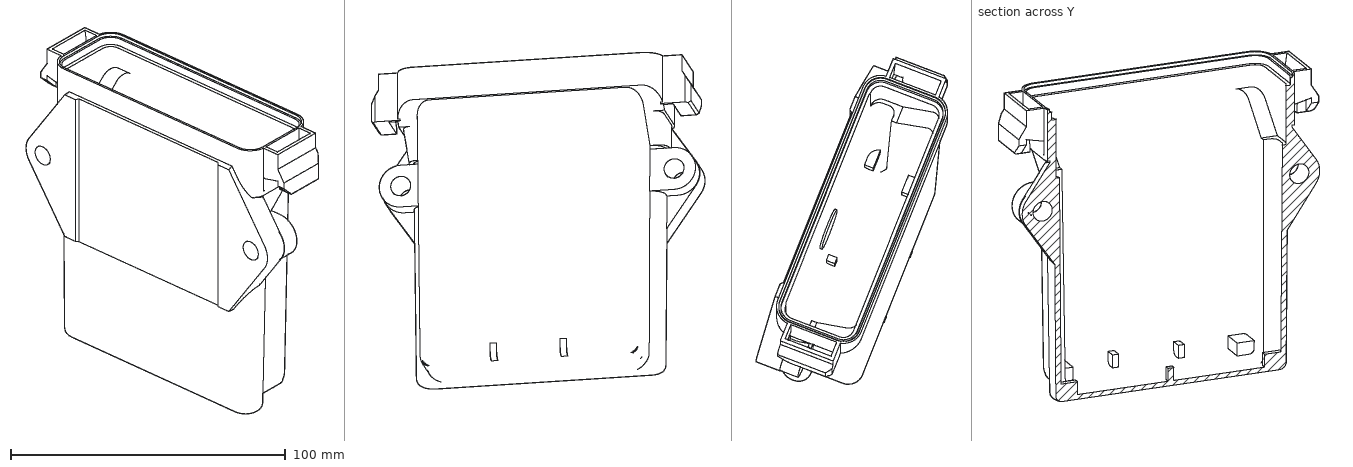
import cadquery as cq
import math


HEIGHT = 114.0
OVERLAP = 1.0

BODY_FRONT_Y = 2.9
WIDE_HALF_TOP, WIDE_HALF_BOTTOM = 47.1, 46.2
SIDE_STEP = 5.0
STEP_Y_TOP, STEP_Y_BOTTOM = 16.8, 14.6
BACK_Y_TOP, BACK_Y_BOTTOM = 34.6, 32.5
FRONT_CORNER_R, STEP_CORNER_R, BACK_CORNER_R = 6.2, 4.8, 5.5
FRONT_BOTTOM_R, BACK_BOTTOM_R = 2.5, 5.5
WALL = 2.0
CAVITY_BOTTOM_R = 2.0

COLLAR_HALF = 49.4
COLLAR_FRONT_Y, COLLAR_BACK_Y = 2.1, 34.74
COLLAR_R = 7.0
COLLAR_BOTTOM = 94.0
NECK_HALF = 48.4
NECK_RISE = 1.2
SLOPE_BACK_Z = 101.5
SLOPE_EDGE_R = 3.0
MOUTH_WALL = 3.1
MOUTH_STEPS = ((0.8, 1.2), (1.6, 4.2))

PLATE_MID_Z = 74.9
PLATE_HALF_HEIGHT = 30.7
PLATE_HALF_WIDTH = 39.6
PLATE_EDGE_DRAFT = 0.7
EAR_BACK_Y = 9.3
HOLE_X = 50.8
HOLE_D = 7.4
EAR_TIP_R = 8.2
BOSS_R = 8.0
BOSS_BACK_Y = 16.3
RELIEF_HALF, RELIEF_DEPTH = 34.9, 1.0

LATCH_FRONT_Y, LATCH_BACK_Y = 8.5, 29.2
LATCH_TOP_X, LATCH_HOOK_X = 56.4, 59.4
LATCH_SHOULDER_Z, LATCH_HOOK_Z, LATCH_BOTTOM = 107.8, 103.2, 95.8
LATCH_CORNER = 1.8
LATCH_HOOK_EDGE = 0.9
LATCH_WALL = 1.4
LATCH_SLOT_X = 52.8
LATCH_SLOT_TOP = 98.0
LATCH_BEVEL = 5.0
NOTCH_OUTER_Z, NOTCH_INNER_Z = 102.8, 101.2

SUPPORT_TOP = 7.0
BACK_BLOCK_X, BACK_BLOCK_FRONT_Y = 32.5, 21.2
FRONT_BLOCK_X, FRONT_BLOCK_BACK_Y = 37.0, 8.3
RIB_THICKNESS = 2.4
BACK_RIB_X, BACK_RIB_FRONT_Y = 13.0, 27.4
CENTER_RIB_BACK_Y = 8.2
PAD_R, PAD_THICKNESS = 7.7, 0.8

CAVITY_BACK_Y = COLLAR_BACK_Y - MOUTH_WALL
SLOPE_FRONT_Z = PLATE_MID_Z + EAR_TIP_R + NECK_RISE
SLOPE_ANGLE = math.atan2(SLOPE_BACK_Z - SLOPE_FRONT_Z, COLLAR_BACK_Y - BOSS_BACK_Y)


def block(x0, x1, y0, y1, z0, z1):
    """Box given by its limits along each axis."""
    return cq.Workplane("XY").box(x1 - x0, y1 - y0, z1 - z0, centered=False).translate((x0, y0, z0))


def both_ends(shape):
    """A left-end shape together with its mirror image on the right end."""
    return shape.union(shape.mirror("YZ"))


def across_x(points, half_width):
    """Solid with the given (Y, Z) outline, running across X."""
    return cq.Workplane("YZ").polyline(points).close().extrude(half_width, both=True)


def along_y(points, y0, y1):
    """Solid with the given (X, Z) outline, running from y0 to y1."""
    return cq.Workplane("XZ", origin=(0, y0, 0)).polyline(points).close().extrude(y0 - y1)


def rounded_tube(half, front, back, radius, z0):
    """Upright prism with rounded corners, from z0 to the top."""
    return block(-half, half, front, back, z0, HEIGHT).edges("|Z").fillet(radius)


def tapered_block(half_bottom, half_top, front, back_bottom, back_top, z0):
    """Block whose ends and back lean outwards from z0 up to the top."""
    side = across_x([(front, z0), (back_bottom, z0), (back_top, HEIGHT), (front, HEIGHT)], half_top)
    ends = [(-half_bottom, z0), (half_bottom, z0), (half_top, HEIGHT), (-half_top, HEIGHT)]
    return side.intersect(along_y(ends, front, back_top))


def wide_part(inset, z0, bottom_r):
    """Front part of the body, moved inwards by inset and standing on z0."""
    solid = tapered_block(
        WIDE_HALF_BOTTOM - inset, WIDE_HALF_TOP - inset, BODY_FRONT_Y + inset,
        STEP_Y_BOTTOM - inset, STEP_Y_TOP - inset, z0)
    solid = solid.edges("not #Z").edges("<Y").fillet(FRONT_CORNER_R - inset)
    solid = solid.faces(">Y").edges("not #Z").fillet(STEP_CORNER_R - inset)
    return solid.faces("<Z").edges().fillet(bottom_r)


def narrow_part(inset, z0, bottom_r, back_bottom, back_top):
    """Rear part of the body, reaching forward into the wide part."""
    solid = tapered_block(
        WIDE_HALF_BOTTOM - SIDE_STEP - inset, WIDE_HALF_TOP - SIDE_STEP - inset,
        BODY_FRONT_Y + inset + FRONT_BOTTOM_R, back_bottom, back_top, z0)
    solid = solid.faces(">Y").edges("not #Z").fillet(BACK_CORNER_R - inset)
    return solid.faces("<Z").edges("not <Y").fillet(bottom_r)


def body():
    rear = narrow_part(0, 0, BACK_BOTTOM_R, BACK_Y_BOTTOM, BACK_Y_TOP)
    return wide_part(0, 0, FRONT_BOTTOM_R).union(rear)


def cavity(inset):
    """Space inside the body; its back wall stands upright."""
    back = CAVITY_BACK_Y + WALL - inset
    rear = narrow_part(inset, inset, CAVITY_BOTTOM_R, back, back)
    return wide_part(inset, inset, CAVITY_BOTTOM_R).union(rear)


def above_slope(rise):
    """Space above the sloped underside of the collar, moved up by rise."""
    outline = [
        (0, SLOPE_FRONT_Z + rise),
        (BOSS_BACK_Y, SLOPE_FRONT_Z + rise),
        (COLLAR_BACK_Y, SLOPE_BACK_Z + rise),
        (COLLAR_BACK_Y, HEIGHT),
        (0, HEIGHT),
    ]
    return across_x(outline, LATCH_HOOK_X)


def collar():
    """Collar with the slimmer neck under it, both ending on the slope with rounded edges."""
    slope_edges = cq.selectors.ParallelDirSelector(
        cq.Vector(0, math.cos(SLOPE_ANGLE), math.sin(SLOPE_ANGLE)))
    outer = rounded_tube(COLLAR_HALF, COLLAR_FRONT_Y, COLLAR_BACK_Y, COLLAR_R, COLLAR_BOTTOM)
    neck = rounded_tube(NECK_HALF, COLLAR_FRONT_Y, COLLAR_BACK_Y, COLLAR_R, SLOPE_FRONT_Z)
    neck = neck.intersect(above_slope(0)).edges(slope_edges).fillet(SLOPE_EDGE_R)
    return outer.intersect(above_slope(0)).union(neck)


def mouth():
    """Stepped opening inside the collar, ending on a sloped floor at each end."""
    opening = rounded_tube(
        COLLAR_HALF - MOUTH_WALL, COLLAR_FRONT_Y + MOUTH_WALL, COLLAR_BACK_Y - MOUTH_WALL,
        COLLAR_R - MOUTH_WALL, SLOPE_FRONT_Z)
    opening = opening.intersect(above_slope(WALL / math.cos(SLOPE_ANGLE)))
    for inset, depth in MOUTH_STEPS:
        opening = opening.union(rounded_tube(
            COLLAR_HALF - inset, COLLAR_FRONT_Y + inset, COLLAR_BACK_Y - inset,
            COLLAR_R - inset, HEIGHT - depth))
    return opening


def mounting_plate():
    """Hexagonal plate with rounded ear tips, a boss behind each hole and a sunk middle."""
    reach_x = HOLE_X - PLATE_HALF_WIDTH
    edge_angle = math.atan2(reach_x, PLATE_HALF_HEIGHT) + math.asin(
        EAR_TIP_R / math.hypot(reach_x, PLATE_HALF_HEIGHT))
    tangent_x = HOLE_X + EAR_TIP_R * math.cos(edge_angle)
    tangent_z = EAR_TIP_R * math.sin(edge_angle)
    tip_x = HOLE_X + EAR_TIP_R
    plate = (
        cq.Workplane("XZ", origin=(0, 0, PLATE_MID_Z))
        .moveTo(-PLATE_HALF_WIDTH, PLATE_HALF_HEIGHT)
        .lineTo(PLATE_HALF_WIDTH, PLATE_HALF_HEIGHT)
        .lineTo(tangent_x, tangent_z)
        .threePointArc((tip_x, 0), (tangent_x, -tangent_z))
        .lineTo(PLATE_HALF_WIDTH, -PLATE_HALF_HEIGHT)
        .lineTo(-PLATE_HALF_WIDTH, -PLATE_HALF_HEIGHT)
        .lineTo(-tangent_x, -tangent_z)
        .threePointArc((-tip_x, 0), (-tangent_x, tangent_z))
        .close()
        .extrude(-EAR_BACK_Y)
    )
    low, high = PLATE_MID_Z - PLATE_HALF_HEIGHT, PLATE_MID_Z + PLATE_HALF_HEIGHT
    drafted = across_x(
        [
            (0, low + PLATE_EDGE_DRAFT),
            (BODY_FRONT_Y, low),
            (EAR_BACK_Y, low),
            (EAR_BACK_Y, high),
            (BODY_FRONT_Y, high),
            (0, high - PLATE_EDGE_DRAFT),
        ],
        tip_x + OVERLAP,
    )
    relief = (
        cq.Workplane("XY", origin=(0, 0, low))
        .polyline([
            (-RELIEF_HALF, 0),
            (RELIEF_HALF, 0),
            (RELIEF_HALF - RELIEF_DEPTH, RELIEF_DEPTH),
            (RELIEF_DEPTH - RELIEF_HALF, RELIEF_DEPTH),
        ])
        .close()
        .extrude(high - low)
    )
    return plate.intersect(drafted).cut(relief).union(both_ends(ear_boss()))


def ear_boss():
    """Rounded lug behind the left ear, running from the hole into the body."""
    round_end = (
        cq.Workplane("XZ", origin=(-HOLE_X, EAR_BACK_Y - OVERLAP, PLATE_MID_Z))
        .circle(BOSS_R)
        .extrude(EAR_BACK_Y - OVERLAP - BOSS_BACK_Y)
    )
    arm = block(
        -HOLE_X, SIDE_STEP + OVERLAP - WIDE_HALF_BOTTOM, EAR_BACK_Y - OVERLAP, BOSS_BACK_Y,
        PLATE_MID_Z - BOSS_R, PLATE_MID_Z + BOSS_R)
    return round_end.union(arm)


def ear_hole():
    return (
        cq.Workplane("XZ", origin=(-HOLE_X, 0, PLATE_MID_Z))
        .circle(HOLE_D / 2)
        .extrude(-BOSS_BACK_Y)
    )


def latch():
    """Left-end latch box with a hooked profile and a pocket that narrows to a through slot."""
    inner_x = -COLLAR_HALF
    profile = [
        (inner_x + OVERLAP, HEIGHT),
        (-LATCH_TOP_X, HEIGHT),
        (-LATCH_TOP_X, LATCH_SHOULDER_Z),
        (-LATCH_HOOK_X, LATCH_HOOK_Z),
        (-LATCH_HOOK_X, LATCH_BOTTOM + LATCH_HOOK_EDGE),
        (LATCH_HOOK_EDGE - LATCH_HOOK_X, LATCH_BOTTOM),
        (inner_x + OVERLAP, LATCH_BOTTOM),
    ]
    box = along_y(profile, LATCH_FRONT_Y, LATCH_BACK_Y)
    corner = (
        cq.Workplane("XY")
        .polyline([
            (-LATCH_HOOK_X, LATCH_BACK_Y - LATCH_CORNER),
            (-LATCH_HOOK_X, LATCH_BACK_Y),
            (LATCH_CORNER - LATCH_HOOK_X, LATCH_BACK_Y),
        ])
        .close()
        .extrude(HEIGHT)
    )
    bevel = across_x(
        [
            (LATCH_FRONT_Y, LATCH_BOTTOM),
            (LATCH_FRONT_Y + LATCH_BEVEL, LATCH_BOTTOM),
            (LATCH_FRONT_Y, LATCH_BOTTOM + LATCH_BEVEL),
        ],
        LATCH_HOOK_X,
    ).intersect(block(-LATCH_HOOK_X, -LATCH_TOP_X, 0, LATCH_BACK_Y, 0, HEIGHT))
    notch = along_y(
        [
            (-LATCH_TOP_X, LATCH_BOTTOM),
            (-LATCH_TOP_X, NOTCH_OUTER_Z),
            (inner_x, NOTCH_INNER_Z),
            (inner_x, LATCH_BOTTOM),
        ],
        LATCH_FRONT_Y, LATCH_FRONT_Y + LATCH_BEVEL)
    pocket = [
        (inner_x, HEIGHT),
        (LATCH_WALL - LATCH_TOP_X, HEIGHT),
        (-LATCH_SLOT_X, LATCH_SLOT_TOP),
        (-LATCH_SLOT_X, LATCH_BOTTOM),
        (inner_x, LATCH_BOTTOM),
    ]
    pocket = along_y(pocket, LATCH_FRONT_Y + LATCH_WALL, LATCH_BACK_Y - LATCH_WALL)
    return box.cut(corner).cut(bevel).cut(notch).cut(pocket)


def supports():
    """Blocks and ribs on the floor that hold the contents, and a round pad on the front wall."""
    inner_front = BODY_FRONT_Y + WALL
    inner_back = CAVITY_BACK_Y
    inner_end = WIDE_HALF_BOTTOM - WALL
    base = WALL / 2
    half_rib = RIB_THICKNESS / 2
    left = block(
        SIDE_STEP - inner_end - OVERLAP, -BACK_BLOCK_X,
        BACK_BLOCK_FRONT_Y, inner_back - CAVITY_BOTTOM_R, base, SUPPORT_TOP)
    left = left.union(block(
        -inner_end, -FRONT_BLOCK_X, inner_front - OVERLAP, FRONT_BLOCK_BACK_Y, base, SUPPORT_TOP))
    left = left.union(block(
        -BACK_RIB_X - half_rib, -BACK_RIB_X + half_rib,
        BACK_RIB_FRONT_Y, inner_back + OVERLAP, base, SUPPORT_TOP))
    center = block(-half_rib, half_rib, inner_front - OVERLAP, CENTER_RIB_BACK_Y, base, SUPPORT_TOP)
    pad = (
        cq.Workplane("XZ", origin=(0, inner_front - OVERLAP, HEIGHT / 2))
        .circle(PAD_R)
        .extrude(-OVERLAP - PAD_THICKNESS)
    )
    return both_ends(left).union(center).union(pad).intersect(cavity(WALL / 2))


shell = body().union(collar()).union(mounting_plate()).union(both_ends(latch()))
shell = shell.cut(cavity(WALL)).cut(mouth())
shell = shell.cut(both_ends(ear_hole()))
result = shell.union(supports())